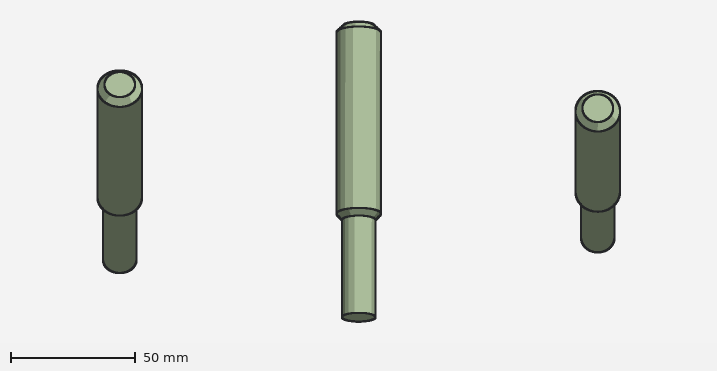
import cadquery as cq

TOTAL_LENGTH = 123.0
SHANK_DIAMETER = 18.0
PIN_DIAMETER = 13.5
SHANK_BOTTOM = 42.3
TOP_CHAMFER = 2.8
SHOULDER_HEIGHT = 2.6
TIP_HEIGHT = 2.0

shank_radius = SHANK_DIAMETER / 2
pin_radius = PIN_DIAMETER / 2


def revolve_profile(points):
    """Revolve a closed (radius, height) outline a full turn about Z."""
    profile = cq.Workplane("XZ").polyline(points).close()
    return profile.revolve(360, (0, 0, 0), (0, 1, 0))


def make_shank():
    """Cylinder with a chamfered top and a conical shoulder down to the pin diameter."""
    return revolve_profile([
        (0, SHANK_BOTTOM),
        (pin_radius, SHANK_BOTTOM),
        (shank_radius, SHANK_BOTTOM + SHOULDER_HEIGHT),
        (shank_radius, TOTAL_LENGTH - TOP_CHAMFER),
        (shank_radius - TOP_CHAMFER, TOTAL_LENGTH),
        (0, TOTAL_LENGTH),
    ])


def make_pin():
    """Straight pin with a shallow conical point, butted against the shank."""
    return revolve_profile([
        (0, 0),
        (pin_radius, TIP_HEIGHT),
        (pin_radius, SHANK_BOTTOM),
        (0, SHANK_BOTTOM),
    ])


shank = make_shank()
pin = make_pin()

result = cq.Compound.makeCompound([shank.val(), pin.val()])